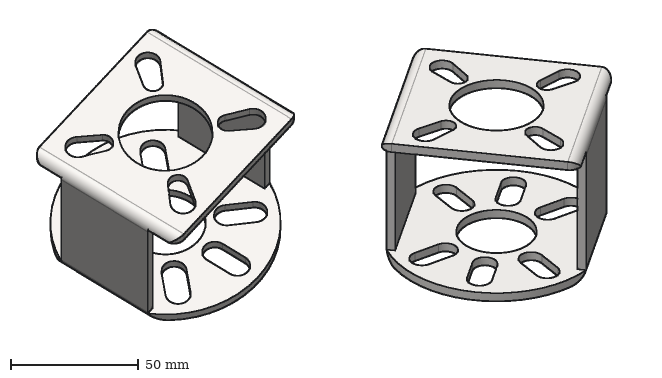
import cadquery as cq
import math

disc_diameter = 90.45
depth = 80.0
height = 62.6

plate_thickness = 3.9
wall_thickness = 3.5
wall_width = 42.5
top_width = 71.0
bend_radius = 4.8

bottom_hole_diameter = 31.6
top_hole_diameter = 37.0

bottom_slot_inner_position = 24.2
bottom_slot_outer_position = 35.4
bottom_slot_radius = 5.0
bottom_slot_angles = (0, 45, 135, 180, 225, 315)

top_slot_inner_position = 25.0
top_slot_outer_position = 35.1
top_slot_inner_radius = 4.0
top_slot_outer_radius = 5.0
top_slot_turn = 3.3
top_slot_angles = [diagonal + top_slot_turn for diagonal in (45, 135, 225, 315)]

top_plate_base = height - plate_thickness


def slot_cutter(inner_position, outer_position, inner_radius, outer_radius, angle, base):
    """Radial slot bounded by two end arcs and their common tangents."""
    spacing = outer_position - inner_position
    lean = (outer_radius - inner_radius) / spacing
    rise = math.sqrt(1 - lean**2)

    def tangent_point(position, radius, side):
        return (position - radius * lean, side * radius * rise)

    return (
        cq.Workplane("XY")
        .workplane(offset=base)
        .moveTo(*tangent_point(inner_position, inner_radius, 1))
        .lineTo(*tangent_point(outer_position, outer_radius, 1))
        .threePointArc(
            (outer_position + outer_radius, 0),
            tangent_point(outer_position, outer_radius, -1),
        )
        .lineTo(*tangent_point(inner_position, inner_radius, -1))
        .threePointArc(
            (inner_position - inner_radius, 0),
            tangent_point(inner_position, inner_radius, 1),
        )
        .close()
        .extrude(plate_thickness)
        .rotate((0, 0, 0), (0, 0, 1), angle)
    )


def hole_cutter(diameter, base):
    return cq.Workplane("XY").workplane(offset=base).circle(diameter / 2).extrude(plate_thickness)


def bent_tube():
    """Rectangular tube along X, rounded outside and sharp inside."""
    outside = (
        cq.Workplane("XY")
        .box(disc_diameter, depth, height, centered=(True, True, False))
        .edges("|X")
        .fillet(bend_radius)
    )
    opening = (
        cq.Workplane("XY")
        .workplane(offset=plate_thickness)
        .rect(disc_diameter, depth - 2 * wall_thickness)
        .extrude(height - 2 * plate_thickness)
    )
    return outside.cut(opening)


def plan_envelope():
    """Disc at the bottom, narrow walls and a rounded rectangle at the top."""
    disc = cq.Workplane("XY").circle(disc_diameter / 2).extrude(plate_thickness)
    walls = cq.Workplane("XY").box(wall_width, depth, height, centered=(True, True, False))
    top = (
        cq.Workplane("XY")
        .workplane(offset=top_plate_base)
        .rect(top_width, depth)
        .extrude(plate_thickness)
        .edges("|Z")
        .fillet(bend_radius)
    )
    return disc.union(walls).union(top)


result = bent_tube().intersect(plan_envelope())

result = result.cut(hole_cutter(bottom_hole_diameter, 0))
result = result.cut(hole_cutter(top_hole_diameter, top_plate_base))

for slot_angle in bottom_slot_angles:
    result = result.cut(
        slot_cutter(
            bottom_slot_inner_position,
            bottom_slot_outer_position,
            bottom_slot_radius,
            bottom_slot_radius,
            slot_angle,
            0,
        )
    )
for slot_angle in top_slot_angles:
    result = result.cut(
        slot_cutter(
            top_slot_inner_position,
            top_slot_outer_position,
            top_slot_inner_radius,
            top_slot_outer_radius,
            slot_angle,
            top_plate_base,
        )
    )